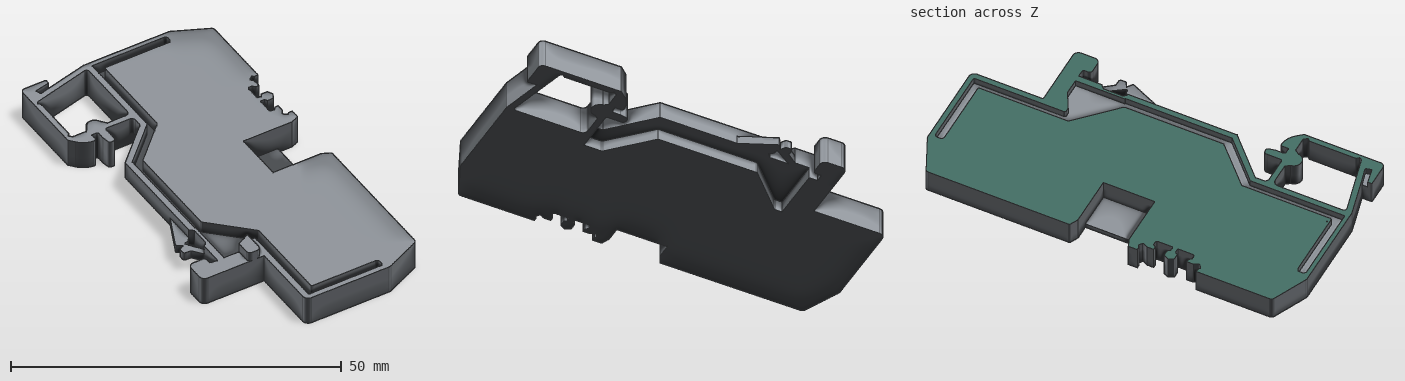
import cadquery as cq
import math


length = 64.4
width = 32.5
plate_height = 4.95
overall_height = 6.6
recess_height = 2.0
groove_floor = 2.95
overcut = 0.65

leg_bottom = 0.25
rim_bottom = 4.65
shoulder_bottom = 11.2
core_bottom = 7.2
core_shoulder = 13.6

strut_left = 13.4
strut_right = 14.35
leg_left = 49.5
leg_right = 52.3
toe_left = 48.1

foot_top = 4.5
arm_root = 1.7

seat_center = 20.7
seat_floor = 29.6

opening_left = 27.75
opening_right = 36.4
opening_floor = 22.55
web_top_edge = 28.65
web_height = 0.8

boss_center = (12.8, 5.35)
boss_radius = 1.35
boss_chamfer = 0.2

pocket_knee = (leg_left, 8.45)
pocket_shoulder = (48.0, 11.3)

core_corner_left = (17.45, core_shoulder, 0.3)
core_foot_left = (23.7, core_bottom)
core_foot_right = (40.6, core_bottom, 0.5)
core_corner_right = (46.8, core_shoulder, 0.3)


def rounded_outline(corners):
    """Closed outline through corners (x, y) or (x, y, radius); a radius rounds that corner."""
    pieces = []
    for i, corner in enumerate(corners):
        x, y = corner[:2]
        radius = corner[2] if len(corner) > 2 else 0
        if radius == 0:
            pieces.append([(x, y)])
            continue
        before = corners[i - 1]
        after = corners[(i + 1) % len(corners)]
        angle_in = math.atan2(before[1] - y, before[0] - x)
        angle_out = math.atan2(after[1] - y, after[0] - x)
        half = abs(math.remainder(angle_out - angle_in, math.tau)) / 2
        setback = radius / math.tan(half)
        bisector = angle_in + math.remainder(angle_out - angle_in, math.tau) / 2
        to_middle = radius / math.sin(half) - radius
        ends = [(x + setback * math.cos(a), y + setback * math.sin(a)) for a in (angle_in, angle_out)]
        middle = (x + to_middle * math.cos(bisector), y + to_middle * math.sin(bisector))
        pieces.append([ends[0], middle, ends[1]])

    sketch = cq.Workplane("XY").moveTo(*pieces[0][-1])
    for piece in pieces[1:] + pieces[:1]:
        sketch = sketch.lineTo(*piece[0])
        if len(piece) == 3:
            sketch = sketch.threePointArc(piece[1], piece[2])
    return sketch.close()


def prism(corners, bottom, top):
    """Upright prism over a rounded outline between two heights."""
    return rounded_outline(corners).extrude(top - bottom).translate((0, 0, bottom))


def label_seat_half(side):
    """Half of the label seat edge, from its outer end inwards; side is -1 (left) or 1 (right)."""
    offsets = [
        (4.95, width), (4.95, 31.9), (5.2, 31.55), (4.75, 30.9, 0.2), (3.9, 31.35), (2.8, 31.35),
        (2.8, 30.8), (3.2, 30.4), (3.2, seat_floor, 0.25),
        (0.45, seat_floor, 0.1), (0.45, 30.35), (0.9, 30.6), (0.9, 31.7, 0.2),
    ]
    return [(seat_center + side * offset, *rest) for offset, *rest in offsets]


def main_plate():
    upper_edge = [
        (0, 26.4, 0.95), (2.85, width, 0.65),
        *label_seat_half(-1), (seat_center, 32.15), *reversed(label_seat_half(1)),
        (27.2, width), (opening_left, 31.2), (opening_left, opening_floor),
        (opening_right, opening_floor), (opening_right, 31.1), (37.1, width, 0.25),
        (61.45, width, 0.65), (length, 26.15, 0.95), (length, shoulder_bottom, 0.95),
    ]
    right_leg = [
        (leg_right, shoulder_bottom), (leg_right, leg_bottom, 0.95), (toe_left, leg_bottom, 0.95),
        (toe_left, 3.35, 0.6), (leg_left, 3.35, 0.25), (leg_left, rim_bottom),
    ]
    rim = [
        (45.65, rim_bottom), (45.0, 5.3), (41.7, 5.3), (41.15, rim_bottom),
        (22.75, rim_bottom), (16.35, shoulder_bottom), (strut_right, shoulder_bottom, 0.65),
    ]
    rail_hook = [
        (strut_right, 6.25, 0.25), (17.5, 6.25, 0.6), (17.5, 5.1, 0.45), (16.1, 4.8),
        (14.55, 4.8, 0.3), (14.55, 3.75), (16.0, 3.75, 0.4), (15.8, 1.75, 3.55), (13.7, 0, 0.3),
    ]
    left_foot = [(0, 0, 0.8), (0, foot_top, 0.2), (arm_root, foot_top), (0, shoulder_bottom)]
    return prism(upper_edge + right_leg + rim + rail_hook + left_foot, 0, plate_height)


def window():
    """Opening enclosed by the spring arm, the foot bar and the strut."""
    corners = [
        (1.0, shoulder_bottom, 0.45), (3.7, 0.85), (4.05, 0.6), (4.5, 0.95), (12.4, 0.95), (12.8, 0.6),
        (strut_left, 1.0), (strut_left, shoulder_bottom, 0.85),
    ]
    return prism(corners, -overcut, plate_height + overcut)


def strut_boss():
    x, y = boss_center
    cylinder = cq.Workplane("XY").circle(boss_radius).extrude(plate_height)
    cylinder = cylinder.faces(">Z").chamfer(boss_chamfer).translate((x, y, 0))
    neck_end = x - 0.45
    narrow, wide = 1.1, 1.85
    neck = [
        (neck_end, y + narrow), (strut_left, y + wide), (strut_left, y - wide), (neck_end, y - narrow),
    ]
    return cylinder.union(prism(neck, 0, plate_height))


def rim_groove():
    """Groove following the lower outline, widening to a triangular pocket beside the right leg."""
    outer_left, inner_left = 0.8, 2.2
    inner_right, outer_right = 62.1, 63.5
    groove_end = 25.45
    end_radius = 0.5
    outer_shoulder = 12.25
    pocket_bottom = 5.8
    rim_top = 5.65
    rim_step = 41.15
    corners = [
        (outer_left, groove_end, end_radius), (outer_left, outer_shoulder),
        (16.75, outer_shoulder), (23.1, rim_top), (rim_step, rim_top), (rim_step, pocket_bottom),
        (leg_left, pocket_bottom), pocket_knee, pocket_shoulder, (pocket_shoulder[0], outer_shoulder, 0.3),
        (outer_right, outer_shoulder, 0.2), (outer_right, groove_end, end_radius),
        (inner_right, groove_end, end_radius), (inner_right, core_shoulder, 0.25),
        core_corner_right, core_foot_right, core_foot_left, core_corner_left,
        (inner_left, core_shoulder, 0.25), (inner_left, groove_end, end_radius),
    ]
    return prism(corners, groove_floor, plate_height + overcut)


def underside_recess():
    """Step under the rim, following the core from the strut to just short of the right leg."""
    lower_limit = 3.85
    corners = [
        (strut_right, core_shoulder), core_corner_left, core_foot_left,
        core_foot_right, core_corner_right, (toe_left, core_shoulder),
        (toe_left, lower_limit), (21.25, lower_limit), (strut_right, 10.3),
    ]
    return prism(corners, -overcut, recess_height)


def foot_slot():
    corners = [(0.8, foot_top), (1.35, 1.9), (2.3, 2.2, 0.2), (arm_root, foot_top)]
    return prism(corners, groove_floor, plate_height + overcut)


def opening_web():
    size = (opening_right - opening_left, web_top_edge - opening_floor, web_height)
    return cq.Workplane("XY").box(*size, centered=False).translate((opening_left, opening_floor, 0))


def clip_feet():
    """Wedge and slanted spring foot below the rim, meeting at a thin bridge."""
    clip_top = 3.4
    wedge_root = 4.75
    spring_root = 5.4
    wedge = [
        (35.8, wedge_root), (35.8, rim_bottom), (41.65, 2.0, 0.2), (42.45, 3.15),
        (41.9, 3.5), (41.85, 4.05), (41.15, rim_bottom), (41.15, wedge_root),
    ]
    spring = [
        (45.1, spring_root), (42.05, 3.35), (42.8, 2.05, 0.3), (43.9, 2.05, 0.4), (44.0, 3.35),
        (45.65, rim_bottom), (45.65, spring_root),
    ]
    return prism(wedge, recess_height, clip_top).union(prism(spring, recess_height, clip_top))


def locating_post():
    knee_x, bottom_edge = pocket_knee
    shoulder_x, shoulder_y = pocket_shoulder
    top_edge = 10.6
    wall_slope = (shoulder_x - knee_x) / (shoulder_y - bottom_edge)
    end_x = knee_x + wall_slope * (top_edge - bottom_edge)
    corner_radius = 0.65
    corners = [
        (end_x, top_edge), pocket_knee,
        (leg_right, bottom_edge, corner_radius), (leg_right, top_edge, corner_radius),
    ]
    return prism(corners, plate_height - overcut, overall_height)


result = (
    main_plate()
    .cut(window())
    .union(strut_boss())
    .cut(rim_groove())
    .cut(underside_recess())
    .cut(foot_slot())
    .union(opening_web())
    .union(clip_feet())
    .union(locating_post())
)